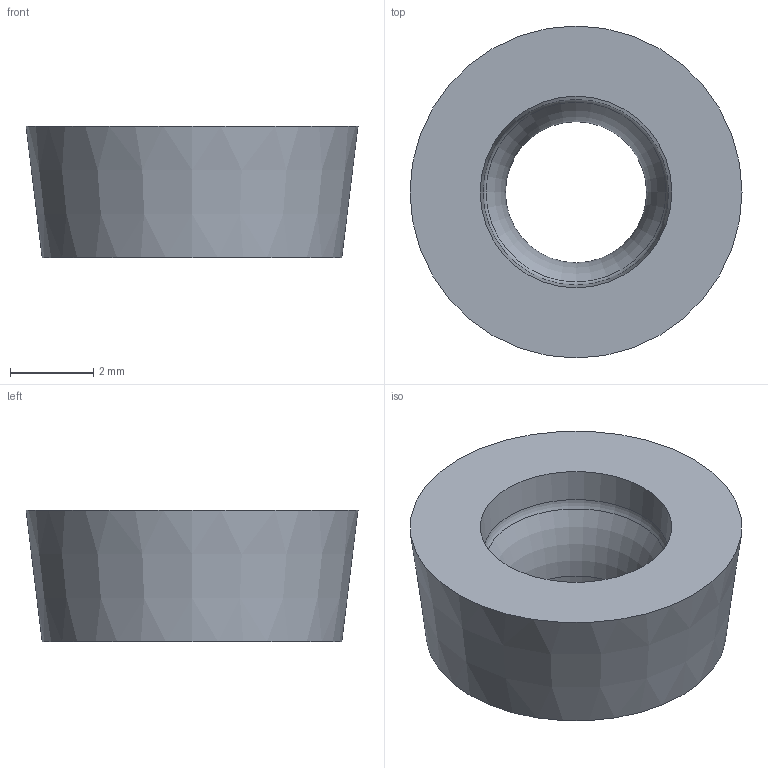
import cadquery as cq
import math

top_radius = 8.0 / 2
thickness = 3.17
clearance_angle = math.radians(7)
bottom_radius = top_radius - thickness * math.tan(clearance_angle)

mouth_radius = 4.62 / 2
mouth_wall_depth = 0.78
mouth_wall_angle = math.radians(5)
blend_radius = 0.5
throat_radius = 3.4 / 2
throat_depth = 2.65


def point_on_circle(center, radius, angle):
    """Point (r, z) on a circle of the half section, angle from the +r direction."""
    return (
        center[0] + radius * math.cos(angle),
        center[1] + radius * math.sin(angle),
    )


def make_body():
    """Disc whose flank leans inward toward the bottom face."""
    outline = [(0, 0), (bottom_radius, 0), (top_radius, thickness), (0, thickness)]
    return cq.Workplane("XZ").polyline(outline).close().revolve(360, (0, 0), (0, 1))


def make_screw_hole():
    """Slightly conical mouth, concave blend, convex screw seat and straight throat."""
    wall_end = (
        mouth_radius - mouth_wall_depth * math.tan(mouth_wall_angle),
        thickness - mouth_wall_depth,
    )
    throat_start = (throat_radius, thickness - throat_depth)

    blend_center = point_on_circle(wall_end, blend_radius, math.pi - mouth_wall_angle)

    offset_r = throat_start[0] - blend_center[0]
    offset_z = throat_start[1] - blend_center[1]
    seat_radius = (offset_r**2 + offset_z**2 - blend_radius**2) / (2 * (blend_radius - offset_r))
    seat_center = (throat_start[0] + seat_radius, throat_start[1])

    joint_angle = math.atan2(seat_center[1] - blend_center[1], seat_center[0] - blend_center[0])
    blend_end = point_on_circle(blend_center, blend_radius, joint_angle)
    blend_middle = point_on_circle(blend_center, blend_radius, (joint_angle - mouth_wall_angle) / 2)
    seat_middle = point_on_circle(seat_center, seat_radius, math.pi + joint_angle / 2)

    return (
        cq.Workplane("XZ")
        .moveTo(0, thickness)
        .lineTo(mouth_radius, thickness)
        .lineTo(*wall_end)
        .threePointArc(blend_middle, blend_end)
        .threePointArc(seat_middle, throat_start)
        .lineTo(throat_radius, 0)
        .lineTo(0, 0)
        .close()
        .revolve(360, (0, 0), (0, 1))
    )


result = make_body().cut(make_screw_hole())